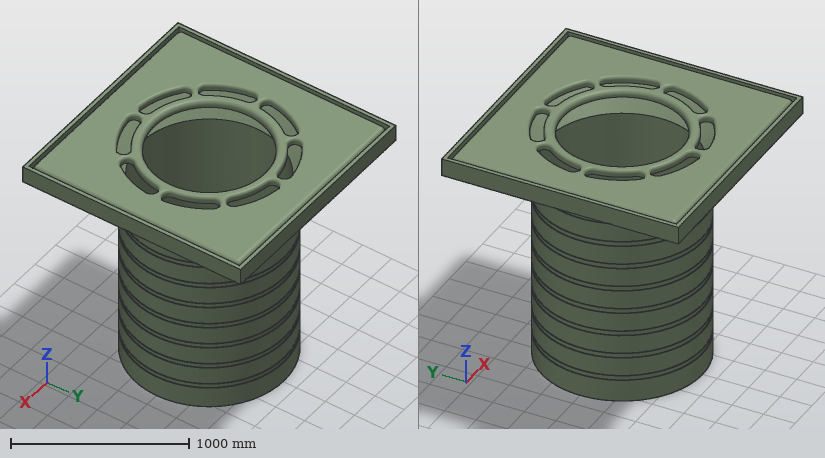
import cadquery as cq
import math

OVERALL = 1500.0

FRAME_DEPTH = 111.0
RIM_WIDTH = 25.0
PIPE_RADIUS = 1020.0 / 2
PIPE_WALL = 40.0
HOPPER_BASE_Z = 1295.0
HOPPER_INNER_BASE_Z = 1288.0

GROOVE_COUNT = 8
GROOVE_PITCH = 150.0
FIRST_GROOVE_Z = 155.0
GROOVE_WIDTH = 30.0
GROOVE_RADIUS = 1010.0 / 2

GRATE_THICKNESS = 40.0
GRATE_GAP = 9.5
GRATE_ROUND = 30.0
CENTRE_HOLE_RADIUS = 750.0 / 2
CENTRE_HOLE_ROUND = 30.0

SLOT_COUNT = 8
SLOT_SPACING = 360 / SLOT_COUNT
SLOT_PITCH_RADIUS = 480.0
SLOT_WIDTH = 80.0
SLOT_ROUND = SLOT_WIDTH / 4
SLOT_END_ANGLE = 7.2

CLEARANCE = 15.0

FRAME_BOTTOM_Z = OVERALL - FRAME_DEPTH
TRAY_FLOOR_Z = OVERALL - GRATE_THICKNESS
TRAY_SIZE = OVERALL - 2 * RIM_WIDTH
GRATE_SIZE = TRAY_SIZE - 2 * GRATE_GAP
BORE_RADIUS = PIPE_RADIUS - PIPE_WALL


def square_plate(size, bottom_z, height):
    """Square plate centred on the Z axis."""
    return cq.Workplane("XY").workplane(offset=bottom_z).rect(size, size).extrude(height)


def groove_cutter(middle_z):
    """Ring that cuts one groove round the pipe."""
    return (
        cq.Workplane("XY")
        .workplane(offset=middle_z - GROOVE_WIDTH / 2)
        .circle(PIPE_RADIUS + CLEARANCE)
        .circle(GROOVE_RADIUS)
        .extrude(GROOVE_WIDTH)
    )


def flared_cylinder(radius, flare_z, top_z):
    """Cylinder standing on the ground that widens at 45 degrees from flare_z to top_z."""
    top_radius = radius + top_z - flare_z
    return (
        cq.Workplane("XZ")
        .polyline([(0, 0), (radius, 0), (radius, flare_z), (top_radius, top_z), (0, top_z)])
        .close()
        .revolve(360, (0, 0, 0), (0, 1, 0))
    )


def make_frame():
    """Square tray with a hopper and a grooved pipe below it, all in one piece."""
    frame = square_plate(OVERALL, FRAME_BOTTOM_Z, FRAME_DEPTH)
    frame = frame.union(flared_cylinder(PIPE_RADIUS, HOPPER_BASE_Z, FRAME_BOTTOM_Z))
    frame = frame.cut(square_plate(TRAY_SIZE, TRAY_FLOOR_Z, GRATE_THICKNESS))
    frame = frame.cut(flared_cylinder(BORE_RADIUS, HOPPER_INNER_BASE_Z, TRAY_FLOOR_Z))
    for index in range(GROOVE_COUNT):
        frame = frame.cut(groove_cutter(FIRST_GROOVE_Z + index * GROOVE_PITCH))
    return frame


def polar_point(radius, angle):
    """Point at a radius and an angle in degrees."""
    return (radius * math.cos(math.radians(angle)), radius * math.sin(math.radians(angle)))


def slot_cutter(start_angle):
    """Curved slot with round ends, between the spoke at start_angle and the next one."""
    first = start_angle + SLOT_END_ANGLE
    middle = start_angle + SLOT_SPACING / 2
    last = start_angle + SLOT_SPACING - SLOT_END_ANGLE
    end_overhang = math.degrees(SLOT_WIDTH / 2 / SLOT_PITCH_RADIUS)
    inner = SLOT_PITCH_RADIUS - SLOT_WIDTH / 2
    outer = SLOT_PITCH_RADIUS + SLOT_WIDTH / 2
    return (
        cq.Workplane("XY")
        .workplane(offset=TRAY_FLOOR_Z)
        .moveTo(*polar_point(outer, first))
        .threePointArc(polar_point(outer, middle), polar_point(outer, last))
        .threePointArc(polar_point(SLOT_PITCH_RADIUS, last + end_overhang), polar_point(inner, last))
        .threePointArc(polar_point(inner, middle), polar_point(inner, first))
        .threePointArc(polar_point(SLOT_PITCH_RADIUS, first - end_overhang), polar_point(outer, first))
        .close()
        .extrude(GRATE_THICKNESS)
    )


def centre_hole_cutter():
    """Round hole whose mouth flares out in a convex quarter round."""
    mouth_radius = CENTRE_HOLE_RADIUS + CENTRE_HOLE_ROUND
    round_start_z = OVERALL - CENTRE_HOLE_ROUND
    diagonal = CENTRE_HOLE_ROUND * math.sqrt(0.5)
    return (
        cq.Workplane("XZ")
        .moveTo(0, TRAY_FLOOR_Z)
        .lineTo(CENTRE_HOLE_RADIUS, TRAY_FLOOR_Z)
        .lineTo(CENTRE_HOLE_RADIUS, round_start_z)
        .threePointArc((mouth_radius - diagonal, round_start_z + diagonal), (mouth_radius, OVERALL))
        .lineTo(0, OVERALL)
        .close()
        .revolve(360, (0, 0, 0), (0, 1, 0))
    )


def make_grate():
    """Square grate with rounded edges, a ring of curved slots and a centre hole."""
    grate = square_plate(GRATE_SIZE, TRAY_FLOOR_Z, GRATE_THICKNESS)
    grate = grate.edges("|Z or >Z").fillet(GRATE_ROUND)
    for index in range(SLOT_COUNT):
        grate = grate.cut(slot_cutter(index * SLOT_SPACING))

    reach = SLOT_PITCH_RADIUS + SLOT_WIDTH
    slot_zone = cq.selectors.BoxSelector((-reach, -reach, TRAY_FLOOR_Z), (reach, reach, OVERALL + CLEARANCE))
    grate = grate.faces(">Z").edges(slot_zone).fillet(SLOT_ROUND)

    return grate.cut(centre_hole_cutter())


frame = make_frame()
grate = make_grate()

result = cq.Compound.makeCompound([frame.val(), grate.val()])